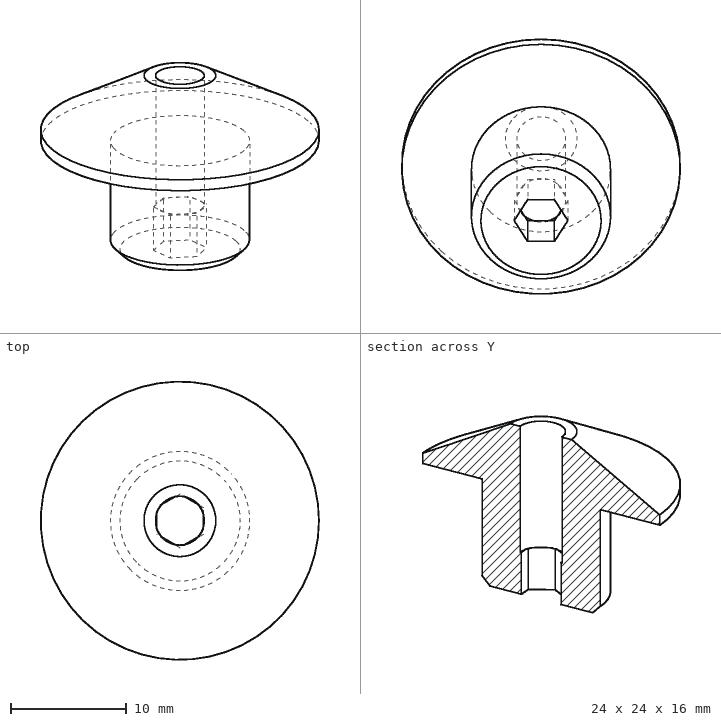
import cadquery as cq
import math

flange_diameter = 24.0
total_height = 16.0

stem_diameter = flange_diameter / 2
stem_length = 10.0
stem_chamfer = 0.82

rim_thickness = 1.0
cone_top_diameter = 6.2

bore_diameter = 4.2

socket_across_flats = 4.0
socket_depth = socket_across_flats

flange_radius = flange_diameter / 2
stem_radius = stem_diameter / 2
rim_top = stem_length + rim_thickness

half_section = (
    cq.Workplane("XZ")
    .moveTo(0, 0)
    .lineTo(stem_radius - stem_chamfer, 0)
    .lineTo(stem_radius, stem_chamfer)
    .lineTo(stem_radius, stem_length)
    .lineTo(flange_radius, stem_length)
    .lineTo(flange_radius, rim_top)
    .lineTo(cone_top_diameter / 2, total_height)
    .lineTo(0, total_height)
    .close()
)
body = half_section.revolve(360, (0, 0, 0), (0, 1, 0))

round_bore = (
    cq.Workplane("XY")
    .workplane(offset=socket_depth)
    .circle(bore_diameter / 2)
    .extrude(total_height - socket_depth)
)

socket_across_corners = socket_across_flats / math.cos(math.pi / 6)
socket = (
    cq.Workplane("XY")
    .polygon(6, socket_across_corners)
    .extrude(socket_depth)
    .rotate((0, 0, 0), (0, 0, 1), 90)
)

result = body.cut(round_bore).cut(socket)